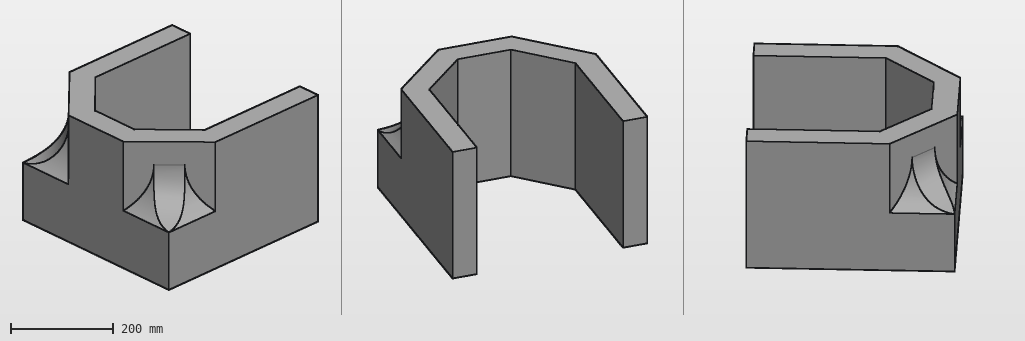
import cadquery as cq
import math

side = 406.5
height = 279.2
wall = 51.0
corner_cut = 127.0
ledge_z = 127.0
spur_height = 101.5

half = side / 2

flank_radius = spur_height * math.sqrt(2)
flank_run = flank_radius - spur_height

ridge_run = corner_cut / math.sqrt(2)
ridge_radius = (ridge_run**2 + spur_height**2) / (2 * ridge_run)


def make_body():
    """Square block with its two front corners cut down to the ledges."""
    body = cq.Workplane("XY").box(side, side, height, centered=(True, True, False))
    for sign in (-1, 1):
        corner_prism = (
            cq.Workplane("XY", origin=(0, 0, ledge_z))
            .polyline([
                (sign * half, -half),
                (sign * (half - corner_cut), -half),
                (sign * half, corner_cut - half),
            ])
            .close()
            .extrude(height - ledge_z)
        )
        body = body.cut(corner_prism)
    return body


def make_channel():
    """Open channel, offset inward from the outer walls by the wall thickness."""
    inner_half = half - wall
    slope_shift = wall * math.tan(math.radians(22.5))
    front_half = half - corner_cut - slope_shift
    slope_end_y = corner_cut + slope_shift - half
    return (
        cq.Workplane("XY")
        .polyline([
            (-inner_half, half),
            (-inner_half, slope_end_y),
            (-front_half, -inner_half),
            (front_half, -inner_half),
            (inner_half, slope_end_y),
            (inner_half, half),
        ])
        .close()
        .extrude(height)
    )


def curved_slab(direction, run, radius, depth):
    """Solid behind a concave arc that rises inward from the left front ledge corner."""
    normal = (direction[1], -direction[0], 0)
    section = cq.Plane(origin=(-half, -half, ledge_z), xDir=direction, normal=normal)
    centre_run = run - radius
    middle_angle = math.asin(spur_height / radius) / 2
    middle = (
        centre_run + radius * math.cos(middle_angle),
        spur_height - radius * math.sin(middle_angle),
    )
    return (
        cq.Workplane(section)
        .moveTo(0, 0)
        .threePointArc(middle, (run, spur_height))
        .lineTo(depth, spur_height)
        .lineTo(depth, 0)
        .close()
        .extrude(side, both=True)
    )


def make_left_spur():
    """Common volume of two flanks and the diagonal ridge, ending inside the wall."""
    side_flank = curved_slab((1, 0, 0), flank_run, flank_radius, corner_cut)
    front_flank = curved_slab((0, 1, 0), flank_run, flank_radius, corner_cut)
    ridge = curved_slab((1, 1, 0), ridge_run, ridge_radius, ridge_run + wall / 2)
    return side_flank.intersect(front_flank).intersect(ridge)


left_spur = make_left_spur()
right_spur = left_spur.mirror("YZ")
result = make_body().union(left_spur).union(right_spur).cut(make_channel())